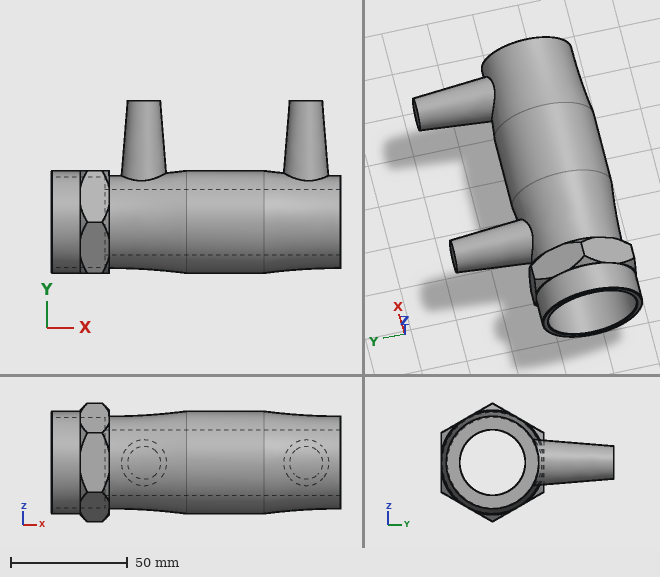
import cadquery as cq
import math

length = 124.0
tube_diameter = 44.0
end_diameter = 39.7
bore_diameter = 28.0

collar_length = 12.4
nut_width = 12.4
nut_chamfer = 3.0
socket_diameter = 38.9
socket_depth = 22.8
rim_chamfer = 0.4

overall_depth = 74.0
spigot_reach = overall_depth - tube_diameter / 2
spigot_tip_diameter = 14.1
spigot_root_diameter = 20.2
spigot_root_y = 14.9
spigot_inset = 14.9

tube_radius = tube_diameter / 2
end_radius = end_diameter / 2
nut_end = collar_length + nut_width
taper_length = (length - nut_end) / 3


def make_cylinder(start, depth, diameter):
    return cq.Workplane("YZ", origin=(start, 0, 0)).circle(diameter / 2).extrude(depth)


def make_tube():
    """Cylindrical middle with a curved taper toward each end."""
    taper_mid_radius = end_radius + (tube_radius - end_radius) / 4
    return (
        cq.Workplane("XY")
        .moveTo(nut_end, 0)
        .lineTo(nut_end, end_radius)
        .threePointArc((nut_end + taper_length / 2, taper_mid_radius), (nut_end + taper_length, tube_radius))
        .lineTo(length - taper_length, tube_radius)
        .threePointArc((length - taper_length / 2, taper_mid_radius), (length, end_radius))
        .lineTo(length, 0)
        .close()
        .revolve(360, (0, 0, 0), (1, 0, 0))
    )


def make_nut():
    """Hexagon with corners on Z, its corners bevelled at 45 degrees on both faces."""
    corner_diameter = tube_diameter / math.cos(math.pi / 6)
    hexagon = (
        cq.Workplane("YZ", origin=(collar_length, 0, 0))
        .transformed(rotate=(0, 0, 90))
        .polygon(6, corner_diameter)
        .extrude(nut_width)
    )
    bevel = make_cylinder(collar_length, nut_width, corner_diameter).edges().chamfer(nut_chamfer)
    return hexagon.intersect(bevel)


def make_spigot(axis_x):
    """Solid cone from inside the tube wall out to its narrow tip."""
    cone = cq.Solid.makeCone(
        spigot_root_diameter / 2,
        spigot_tip_diameter / 2,
        spigot_reach - spigot_root_y,
        cq.Vector(axis_x, spigot_root_y, 0),
        cq.Vector(0, 1, 0),
    )
    return cq.Workplane(obj=cone)


def make_socket():
    """Cutter for the open socket, flared by a small chamfer at the collar rim."""
    socket = make_cylinder(0, socket_depth, socket_diameter)
    mouth_radius = socket_diameter / 2 + rim_chamfer
    flare = cq.Solid.makeCone(
        mouth_radius, socket_diameter / 2, rim_chamfer, cq.Vector(0, 0, 0), cq.Vector(1, 0, 0)
    )
    return socket.union(cq.Workplane(obj=flare))


collar = make_cylinder(0, collar_length, tube_diameter).faces("<X").chamfer(rim_chamfer)
body = collar.union(make_nut()).union(make_tube())
for axis_x in (nut_end + spigot_inset, length - spigot_inset):
    body = body.union(make_spigot(axis_x))

bore = make_cylinder(0, length, bore_diameter)
result = body.cut(bore).cut(make_socket())